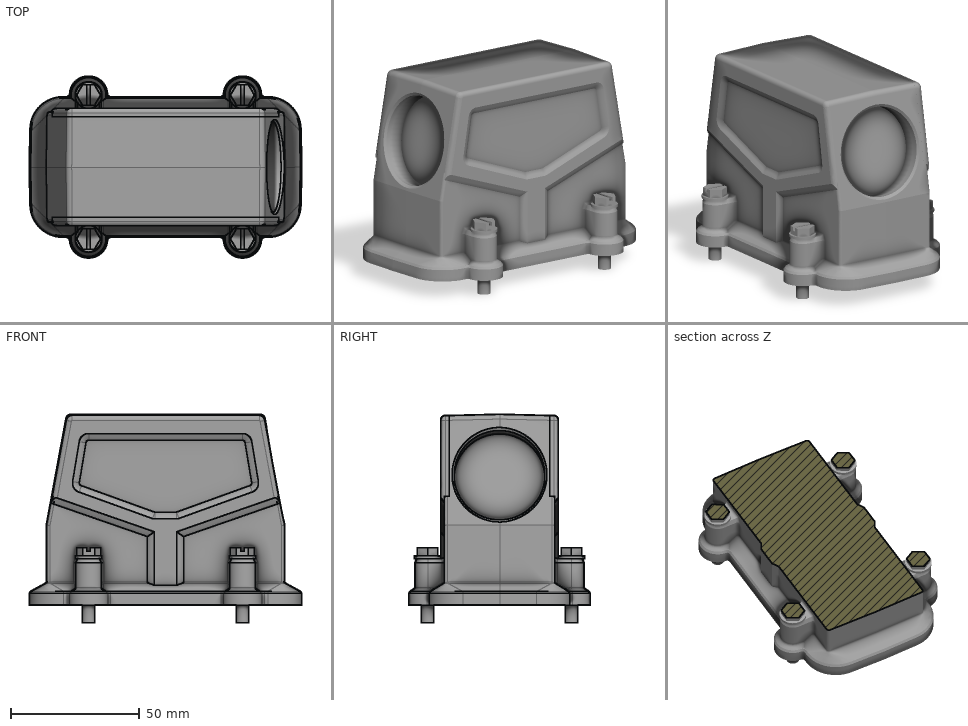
import cadquery as cq
import math

length = 106.5
width = 71.0
hood_height = 74.5
pin_length = 6.9

end_fold = 0.3
roof_fold = 0.5

flange_half_length = length / 2
flange_half_width = 27.5
flange_corner_radius = 13.1
rim_height = 4.6
bevel_top = 5.4
bevel_run = 0.6
slope_top = 8.7

hood_half_length = 46.5
roof_half_length = 38.5
bend_height = 31.3
raised_half_width = 23.0
relief_depth = 1.5
core_half_width = raised_half_width - relief_depth
raised_round = 1.9
core_round = 1.1
roof_end_round = 2.2
foot_round = 0.6

wall_run = 2.7
wall_angle = math.degrees(math.atan2(wall_run, relief_depth))
stem_half_width = 4.4
arm_inner_height = 28.6
arm_outer_height = 41.7
arm_outer_x = 42.1
arm_slope = (arm_outer_height - arm_inner_height) / (arm_outer_x - stem_half_width)

panel_top = 64.3
panel_top_half_length = 30.9
panel_side_height = 47.0
panel_side_half_length = 33.8
panel_bottom = 36.3
panel_bottom_half_length = 4.3
panel_corner_radius = 1.1

entry_diameter = 35.5
entry_x = 42.9
entry_depth = 8.5
entry_chamfer = 1.1

lobe_radius = 7.5
post_x = 30.0
post_y = width / 2 - lobe_radius
post_radius = 5.0
post_top = 18.2
post_chamfer_height = 1.7
post_chamfer_run = 0.7
cone_top = 6.6
lobe_blend = 1.1
neck_blend = 1.0

pin_diameter = 5.0
washer_radius = 5.2
washer_top = 19.3
head_across_flats = 8.1
head_top = 22.5
slot_width = 1.5
slot_depth = 1.5

POST_CENTRES = [(sx * post_x, sy * post_y) for sx in (-1, 1) for sy in (-1, 1)]


def folded_section(half_length, half_width, z):
    """Rectangle whose two ends bulge to a shallow point on Y = 0."""
    corner_x = half_length - end_fold
    points = [
        (corner_x, -half_width),
        (half_length, 0),
        (corner_x, half_width),
        (-corner_x, half_width),
        (-half_length, 0),
        (-corner_x, -half_width),
    ]
    return cq.Workplane("XY", origin=(0, 0, z)).polyline(points).close()


def rounded_section(half_length, half_width, radius, z):
    """Folded rectangle with rounded corners."""
    corner_x = half_length - end_fold
    diagonal = radius * (1 - math.sqrt(0.5))
    section = cq.Workplane("XY", origin=(0, 0, z)).moveTo(half_length, 0)
    section = section.lineTo(corner_x, half_width - radius)
    section = section.threePointArc(
        (corner_x - diagonal, half_width - diagonal), (corner_x - radius, half_width)
    )
    section = section.lineTo(radius - corner_x, half_width)
    section = section.threePointArc(
        (diagonal - corner_x, half_width - diagonal), (-corner_x, half_width - radius)
    )
    section = section.lineTo(-half_length, 0).lineTo(-corner_x, radius - half_width)
    section = section.threePointArc(
        (diagonal - corner_x, diagonal - half_width), (radius - corner_x, -half_width)
    )
    section = section.lineTo(corner_x - radius, -half_width)
    section = section.threePointArc(
        (corner_x - diagonal, diagonal - half_width), (corner_x, radius - half_width)
    )
    return section.close()


def loft(*sections):
    """Ruled solid through closed sections."""
    wires = [section.wires().val() for section in sections]
    return cq.Workplane(cq.Solid.makeLoft(wires, True))


def hood_block(half_width, side_round):
    """Tapered hood of the given half width with rounded corners and roof edges."""
    gable = (
        cq.Workplane("YZ", origin=(-length, 0, 0))
        .moveTo(-half_width, 0)
        .lineTo(half_width, 0)
        .lineTo(half_width, hood_height - roof_fold)
        .lineTo(0, hood_height)
        .lineTo(-half_width, hood_height - roof_fold)
        .close()
        .extrude(2 * length)
    )
    lower = loft(
        folded_section(hood_half_length, half_width, 0),
        folded_section(hood_half_length, half_width, bend_height),
    )
    upper = loft(
        folded_section(hood_half_length, half_width, bend_height),
        folded_section(roof_half_length, half_width, hood_height),
    )
    block = lower.union(upper).intersect(gable)
    roof_ends = block.edges().filter(
        lambda edge: edge.Center().z > hood_height - roof_fold and abs(edge.Center().x) > 1.1
    )
    block = roof_ends.fillet(roof_end_round)
    side_edges = block.edges().filter(
        lambda edge: abs(edge.Center().y) > half_width - 0.01 and edge.Center().z > 1.1
    )
    return side_edges.fillet(side_round)


def side_plane(side, distance, facing=1):
    """XZ plane on the given long side that faces outwards (1) or inwards (-1)."""
    normal = (0, side * facing, 0)
    return cq.Plane(origin=(0, side * distance, 0), xDir=(-side * facing, 0, 0), normal=normal)


def raised_band(side):
    """Y-shaped region that stands proud of the hood core, with sloping walls."""
    reach = length
    arm_end = arm_inner_height + arm_slope * (reach - stem_half_width)
    points = [
        (-stem_half_width, -length),
        (stem_half_width, -length),
        (stem_half_width, arm_inner_height),
        (reach, arm_end),
        (reach, 2 * length),
        (-reach, 2 * length),
        (-reach, arm_end),
        (-stem_half_width, arm_inner_height),
    ]
    inwards = side_plane(side, raised_half_width, -1)
    sloped = cq.Workplane(inwards).polyline(points).close().extrude(relief_depth, taper=-wall_angle)
    backing = cq.Workplane(inwards).polyline(points).close().extrude(relief_depth + raised_round)
    return sloped.union(backing)


def panel_pocket(side):
    """Shallow panel recess that widens outwards."""
    points = [
        (-panel_bottom_half_length, panel_bottom),
        (panel_bottom_half_length, panel_bottom),
        (panel_side_half_length, panel_side_height),
        (panel_top_half_length, panel_top),
        (-panel_top_half_length, panel_top),
        (-panel_side_half_length, panel_side_height),
        (-panel_bottom_half_length, panel_bottom),
    ]
    sketch = cq.Sketch().polygon(points).vertices(">Y or <X or >X").fillet(panel_corner_radius)
    pocket = cq.Workplane(side_plane(side, core_half_width)).placeSketch(sketch)
    return pocket.extrude(relief_depth, taper=-wall_angle)


def hood():
    """Hood core with the raised band and its panel recess on both long sides."""
    body = hood_block(core_half_width, core_round)
    shell = hood_block(raised_half_width, raised_round)
    for side in (-1, 1):
        relief = raised_band(side).cut(panel_pocket(side))
        body = body.union(shell.intersect(relief))
    return body


def flange():
    """Rounded plate with four blended lobes, a bevelled rim and a top that slopes up to the hood."""
    plate = rounded_section(flange_half_length, flange_half_width, flange_corner_radius, 0).extrude(bevel_top)
    lobes = cq.Workplane("XY").pushPoints(POST_CENTRES).circle(lobe_radius).extrude(bevel_top)
    plate = plate.union(lobes)
    notches = plate.edges("|Z").filter(
        lambda edge: abs(edge.Center().x) < post_x + lobe_radius
        and abs(abs(edge.Center().y) - flange_half_width) < 0.01
    )
    plate = notches.fillet(lobe_blend)
    plate = plate.faces(">Z").edges().chamfer(bevel_top - rim_height, bevel_run)
    shoulder = rounded_section(
        flange_half_length - bevel_run,
        flange_half_width - bevel_run,
        flange_corner_radius - bevel_run,
        bevel_top,
    )
    foot = rounded_section(hood_half_length, core_half_width, core_round, slope_top)
    plate = plate.union(loft(shoulder, foot))
    for x, y in POST_CENTRES:
        cone = cq.Workplane("XY", origin=(x, y, bevel_top)).circle(lobe_radius - bevel_run)
        cone = cone.workplane(offset=cone_top - bevel_top).circle(post_radius).loft()
        plate = plate.union(cone)
    return plate


def post(x, y):
    """Screw post with the neck that ties it to the hood, chamfered along the top."""
    inner_end = core_half_width - abs(y) - 1.1
    outline = (
        cq.Workplane("XY")
        .moveTo(-post_radius, inner_end)
        .lineTo(-post_radius, 0)
        .threePointArc((0, post_radius), (post_radius, 0))
        .lineTo(post_radius, inner_end)
        .close()
    )
    column = outline.extrude(post_top)
    column = column.faces(">Z").edges("not <Y").chamfer(post_chamfer_height, post_chamfer_run)
    if y < 0:
        column = column.mirror("XZ")
    return column.translate((x, y, 0))


def screw(x, y):
    """Slotted hexagon screw with its washer and the pin below the flange."""
    pin = cq.Workplane("XY", origin=(0, 0, -pin_length)).circle(pin_diameter / 2).extrude(pin_length + 1.1)
    washer = cq.Workplane("XY", origin=(0, 0, post_top)).circle(washer_radius).extrude(washer_top - post_top)
    across_corners = head_across_flats / math.cos(math.pi / 6)
    head = cq.Workplane("XY", origin=(0, 0, washer_top)).polygon(6, across_corners)
    head = head.extrude(head_top - washer_top)
    slot = cq.Workplane("XY", origin=(0, 0, head_top)).rect(slot_width, 2 * head_across_flats)
    head = head.cut(slot.extrude(-slot_depth))
    return pin.union(washer).union(head).translate((x, y, 0))


def cable_entry():
    """Chamfered blind bore square to the sloping +X end face."""
    run = hood_half_length - roof_half_length
    rise = hood_height - bend_height
    entry_z = bend_height + (hood_half_length - entry_x) * rise / run
    face = cq.Plane(origin=(entry_x, 0, entry_z), xDir=(0, 1, 0), normal=(rise, 0, run))
    bore = cq.Workplane(face).circle(entry_diameter / 2)
    bore = bore.extrude(-entry_depth)
    mouth = cq.Workplane(face).circle(entry_diameter / 2 + entry_chamfer)
    mouth = mouth.workplane(offset=-entry_chamfer).circle(entry_diameter / 2).loft()
    return bore.union(mouth)


upper = hood()
for x, y in POST_CENTRES:
    upper = upper.union(post(x, y))
neck_edges = upper.edges().filter(
    lambda edge: abs(abs(edge.Center().y) - core_half_width) < 0.01
    and abs(abs(edge.Center().x) - post_x) < post_radius + 0.1
    and 0 < edge.Center().z < post_top + 0.1
)
upper = neck_edges.fillet(neck_blend)

body = flange().union(upper)
foot_edges = body.edges().filter(
    lambda edge: min(abs(edge.Center().z - slope_top), abs(edge.Center().z - cone_top)) < 0.05
)
body = foot_edges.fillet(foot_round)

for x, y in POST_CENTRES:
    body = body.union(screw(x, y))
result = body.cut(cable_entry())